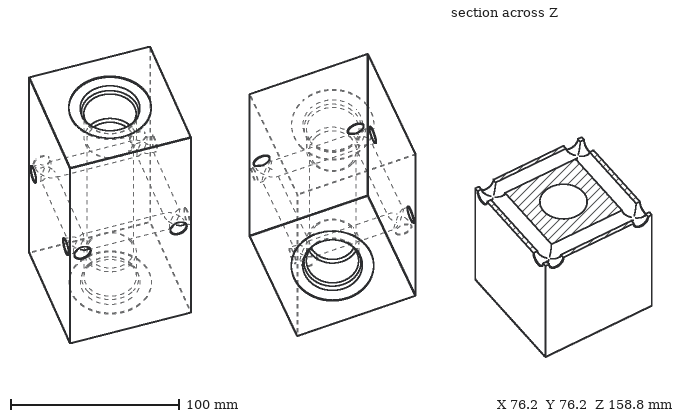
import cadquery as cq

height = 158.8
width = 76.2
edge_chamfer = 0.3

spot_face_diameter = 49.0
spot_face_depth = 1.0
mouth_diameter = 35.5
seat_diameter = 34.0
seat_depth = 3.5
thread_diameter = 31.1
thread_start_depth = 5.0
thread_end_depth = 27.0
bore_diameter = 28.0

cross_hole_diameter = 9.8
cross_hole_spacing = 60.3
cross_hole_chamfer = 0.4


def make_block():
    block = cq.Workplane("XY").box(width, width, height)
    return block.edges().chamfer(edge_chamfer)


def make_bore():
    """Through bore with the same stepped port at both ends, as one revolved half-profile."""
    end = height / 2
    floor = end - spot_face_depth
    thread_end = floor - thread_end_depth
    drill_cone_height = (thread_diameter - bore_diameter) / 2
    upper_profile = [
        (bore_diameter / 2, thread_end - drill_cone_height),
        (thread_diameter / 2, thread_end),
        (thread_diameter / 2, floor - thread_start_depth),
        (seat_diameter / 2, floor - seat_depth),
        (mouth_diameter / 2, floor),
        (spot_face_diameter / 2, floor),
        (spot_face_diameter / 2, end),
        (0, end),
    ]
    lower_profile = [(radius, -z) for radius, z in reversed(upper_profile)]
    profile = cq.Workplane("XZ").polyline(upper_profile + lower_profile).close()
    return profile.revolve(360, (0, 0, 0), (0, 1, 0))


def make_cross_hole():
    """Cutter along Y that flares at both ends into a 45 degree chamfer."""
    radius = cross_hole_diameter / 2
    end = width / 2
    profile = [
        (0, -end),
        (radius + cross_hole_chamfer, -end),
        (radius, -end + cross_hole_chamfer),
        (radius, end - cross_hole_chamfer),
        (radius + cross_hole_chamfer, end),
        (0, end),
    ]
    return cq.Workplane("XY").polyline(profile).close().revolve(360, (0, 0, 0), (0, 1, 0))


result = make_block().cut(make_bore())
for side in (-1, 1):
    hole_along_y = make_cross_hole().translate((side * cross_hole_spacing / 2, 0, 0))
    hole_along_x = hole_along_y.rotate((0, 0, 0), (0, 0, 1), 90)
    result = result.cut(hole_along_y).cut(hole_along_x)